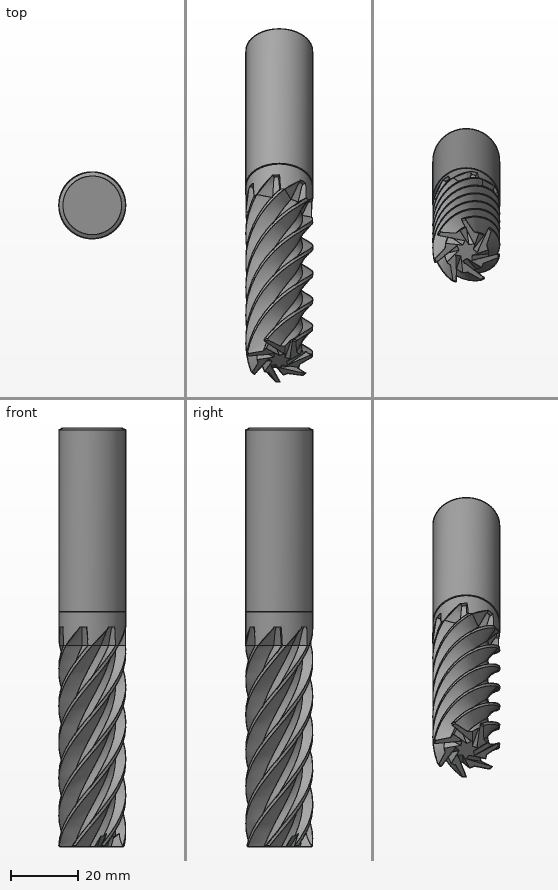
import cadquery as cq
import math

TOTAL_LENGTH = 125.0
RADIUS = 10.0
CUTTING_LENGTH = 60.0
NECK_TOP = 70.0
NECK_GROOVE_HEIGHT = 0.2
NECK_GROOVE_DEPTH = 0.1
SHANK_CHAMFER_WIDTH = 1.2
SHANK_CHAMFER_HEIGHT = 0.6
CORNER_CHAMFER = 0.4

FLUTE_COUNT = 7
FLUTE_PITCH = 360.0 / FLUTE_COUNT
LEAD = 75.0
TWIST_RATE = 360.0 / LEAD
FIRST_EDGE_ANGLE = -128.4
EDGE_ANGLES = [FIRST_EDGE_ANGLE + FLUTE_PITCH * i for i in range(FLUTE_COUNT)]
LAND_ANGLE = 7.0
FLOOR_HEEL_RADIUS = 6.4
FLOOR_HEEL_ANGLE = 31.0
FLOOR_RAKE_RADIUS = 7.0

RUNOUT_HEIGHT = 5.6
RUNOUT_HEEL_SHIFT = 4.0
RUNOUT_TIP_INSET = 2.5
RUNOUT_TIP_RADIUS = 9.1
RUNOUT_SHOULDER_HEIGHT = 5.0
RUNOUT_SHOULDER_RADIUS = 8.8
RUNOUT_FLOOR_INSET = 3.5
CLEARANCE = 1.2

GASH_INNER_RADIUS = 1.9
GASH_OUTER_RADIUS = 8.1
GASH_OUTER_DEPTH = 4.2
GASH_SECTION_HEIGHT = 5.0
GASH_FLOOR_START = 1.1
GASH_FLOOR_END = 2.6
GASH_WALL_RUN = 2.8
GASH_RAMP_RUN = 3.8


def polar(radius, angle):
    """Point of the cross-section at a radius and an angle in degrees."""
    return (radius * math.cos(math.radians(angle)), radius * math.sin(math.radians(angle)))


def groove_section(heel, floor_heel, floor_wall, wall):
    """Section of a runout groove, open to the outside; the floor corners are (radius, angle) pairs."""
    outside = RADIUS + CLEARANCE
    return [
        polar(outside, heel),
        polar(RADIUS, heel),
        polar(*floor_heel),
        polar(*floor_wall),
        polar(outside, wall),
    ]


def flute_runout(edge_angle):
    """Flute end in the neck: one side follows the helix, the other rises straight to a rounded-off tip."""
    heel = edge_angle + LAND_ANGLE
    wall = edge_angle + FLUTE_PITCH
    shoulder_heel = heel + RUNOUT_HEEL_SHIFT + TWIST_RATE * RUNOUT_SHOULDER_HEIGHT
    tip_heel = shoulder_heel + RUNOUT_TIP_INSET
    tip_wall = wall - RUNOUT_TIP_INSET
    base = groove_section(
        heel, (FLOOR_HEEL_RADIUS, edge_angle + FLOOR_HEEL_ANGLE), (FLOOR_RAKE_RADIUS, wall), wall
    )
    shoulder = groove_section(
        shoulder_heel,
        (RUNOUT_SHOULDER_RADIUS, shoulder_heel + RUNOUT_FLOOR_INSET),
        (RUNOUT_SHOULDER_RADIUS, wall - RUNOUT_FLOOR_INSET),
        wall,
    )
    tip = groove_section(
        tip_heel,
        (RUNOUT_TIP_RADIUS, tip_heel + RUNOUT_TIP_INSET),
        (RUNOUT_TIP_RADIUS, tip_wall),
        tip_wall,
    )
    return (
        cq.Workplane().workplane(offset=CUTTING_LENGTH)
        .polyline(base).close()
        .workplane(offset=RUNOUT_SHOULDER_HEIGHT)
        .polyline(shoulder).close()
        .workplane(offset=RUNOUT_HEIGHT - RUNOUT_SHOULDER_HEIGHT)
        .polyline(tip).close()
        .loft(ruled=True)
    )


def end_gash(edge_angle):
    """Sloping groove in the end face in front of one cutting edge, deepest at the outside."""
    slope = math.atan2(GASH_OUTER_DEPTH, GASH_OUTER_RADIUS - GASH_INNER_RADIUS)
    length = math.hypot(GASH_OUTER_DEPTH, GASH_OUTER_RADIUS - GASH_INNER_RADIUS)
    plane = cq.Plane(
        origin=(GASH_INNER_RADIUS, 0, 0),
        xDir=(0, 1, 0),
        normal=(math.cos(slope), 0, math.sin(slope)),
    )
    trapezoid = [
        (GASH_FLOOR_END, 0),
        (GASH_FLOOR_START, 0),
        (GASH_FLOOR_START - GASH_RAMP_RUN, -GASH_SECTION_HEIGHT),
        (GASH_FLOOR_END - GASH_WALL_RUN, -GASH_SECTION_HEIGHT),
    ]
    return (
        cq.Workplane(plane).polyline(trapezoid).close().extrude(length)
        .rotate((0, 0, 0), (0, 0, 1), edge_angle)
    )


def tooth_section():
    """Cross-section of the cutter: each tooth has a land arc, a back, a flute floor and a rake face."""
    section = cq.Workplane().moveTo(*polar(RADIUS, FIRST_EDGE_ANGLE))
    for edge_angle in EDGE_ANGLES:
        section = section.threePointArc(
            polar(RADIUS, edge_angle + LAND_ANGLE / 2), polar(RADIUS, edge_angle + LAND_ANGLE)
        )
        section = section.lineTo(*polar(FLOOR_HEEL_RADIUS, edge_angle + FLOOR_HEEL_ANGLE))
        section = section.lineTo(*polar(FLOOR_RAKE_RADIUS, edge_angle + FLUTE_PITCH))
        if edge_angle != EDGE_ANGLES[-1]:
            section = section.lineTo(*polar(RADIUS, edge_angle + FLUTE_PITCH))
    return section.close()


def corner_chamfer():
    """Ring that bevels the outer corner of the end face at 45 degrees."""
    outside = RADIUS + CLEARANCE
    return (
        cq.Workplane("XZ")
        .polyline([(RADIUS - CORNER_CHAMFER, 0), (outside, 0), (outside, CORNER_CHAMFER + CLEARANCE)])
        .close().revolve(360, (0, 0), (0, 1))
    )


def make_cutter():
    blank = tooth_section().twistExtrude(CUTTING_LENGTH, TWIST_RATE * CUTTING_LENGTH)
    gashes = [end_gash(edge_angle).val() for edge_angle in EDGE_ANGLES]
    return blank.val().cut(corner_chamfer().val(), *gashes)


def make_shank():
    outline = [
        (0, CUTTING_LENGTH),
        (RADIUS, CUTTING_LENGTH),
        (RADIUS, NECK_TOP),
        (RADIUS - NECK_GROOVE_DEPTH, NECK_TOP),
        (RADIUS, NECK_TOP + NECK_GROOVE_HEIGHT),
        (RADIUS, TOTAL_LENGTH - SHANK_CHAMFER_HEIGHT),
        (RADIUS - SHANK_CHAMFER_WIDTH, TOTAL_LENGTH),
        (0, TOTAL_LENGTH),
    ]
    blank = (
        cq.Workplane("XZ")
        .polyline(outline)
        .close().revolve(360, (0, 0), (0, 1))
    )
    cutter_twist = TWIST_RATE * CUTTING_LENGTH
    runouts = [flute_runout(edge_angle + cutter_twist).val() for edge_angle in EDGE_ANGLES]
    return blank.val().cut(*runouts)


cutter = make_cutter()
shank = make_shank()
result = cq.Compound.makeCompound([*cutter.Solids(), *shank.Solids()])